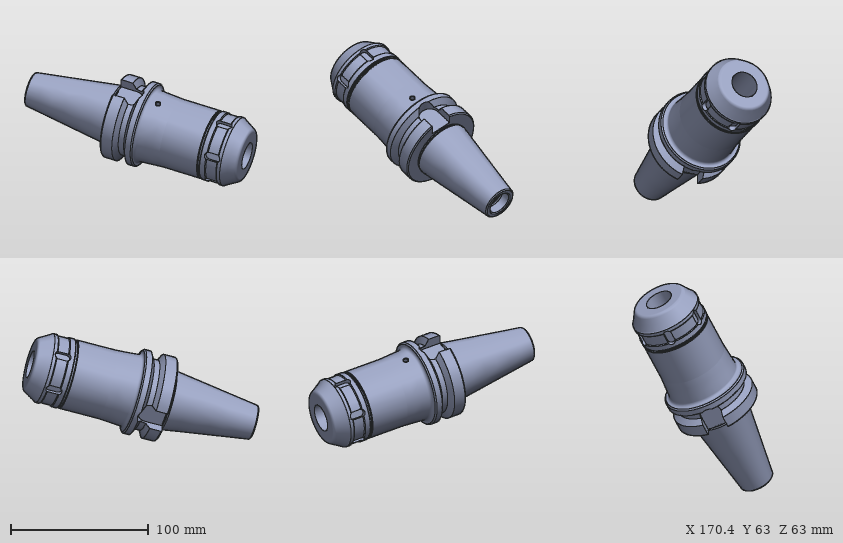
import cadquery as cq
import math

LENGTH = 170.4

TAPER_LENGTH = 65.5
TAPER_GAUGE_RADIUS = 44.5 / 2
TAPER_SLOPE = 7 / 48
TAPER_TIP_RADIUS = TAPER_GAUGE_RADIUS - TAPER_SLOPE * TAPER_LENGTH
TAPER_TIP_CHAMFER = 0.9
RELIEF_START = 66.5
RELIEF_RADIUS = 43.5 / 2

FLANGE_RADIUS = 63.0 / 2
FLANGE_FRONT = 67.5
FLANGE_FRONT_CHAMFER = 0.9
FLANGE_BACK = 92.5
FLANGE_BACK_CHAMFER = 1.0
GROOVE_FLOOR_RADIUS = 52.8 / 2
GROOVE_FLOOR_START = 80.0
GROOVE_FLOOR_END = 84.2
GROOVE_FLANK_ANGLE = math.radians(30)
GROOVE_FLANK_LENGTH = (FLANGE_RADIUS - GROOVE_FLOOR_RADIUS) * math.tan(GROOVE_FLANK_ANGLE)

NECK_FILLET = 2.5
NECK_START = FLANGE_BACK + NECK_FILLET
NECK_RADIUS = 27.0
BARREL_START = 112.5
BARREL_RADIUS = 51.5 / 2
BARREL_END = 141.8
BARREL_END_CHAMFER = 0.3

NUT_GAP_RADIUS = 48.4 / 2
NUT_START = 143.3
NUT_START_CHAMFER = 0.5
NUT_RADIUS = 52.0 / 2
NUT_WAIST_RADIUS = 50.6 / 2
NUT_WAIST_START = 147.7
NUT_WAIST_END = 157.1
NUT_WAIST_FLANK = 0.7
NUT_RIM_END = 160.2
NUT_RIM_CHAMFER = 0.5
NOSE_ANGLE = math.radians(30)
NOSE_ROUND = 3.0

DRIVE_SLOT_COUNT = 2
DRIVE_SLOT_WIDTH = 16.0
DRIVE_SLOT_FLOOR = 22.8
DRIVE_SLOT_END = 88.3

WRENCH_SLOT_COUNT = 6
WRENCH_SLOT_LENGTH = 12.0
WRENCH_SLOT_WIDTH = 5.8
WRENCH_SLOT_FLOOR = 22.5
WRENCH_SLOT_CENTRE = 152.3

SIDE_HOLE_X = 100.2
SIDE_HOLE_DIAMETER = 3.4
SIDE_HOLE_MOUTH_DIAMETER = 4.0
SIDE_HOLE_MOUTH_FLOOR = 25.9

MOUTH_RADIUS = 19.3 / 2
MOUTH_CHAMFER_DEPTH = 0.7
PILOT_RADIUS = 17.4 / 2
PILOT_DEPTH = 7.5
RECESS_RADIUS = 16.0 / 2
RECESS_START = 8.5
RECESS_END = 9.2
THREAD_RADIUS = 14.3 / 2
THREAD_START = 10.0
THREAD_END = 30.7
THROUGH_RADIUS = 12.0 / 2
CLAMP_BORE_RADIUS = 20.0 / 2
CLAMP_BORE_START = 95.5


def outer_body():
    """Turned outside shape."""
    chamfer_radius = TAPER_TIP_RADIUS + TAPER_SLOPE * TAPER_TIP_CHAMFER
    fillet_middle = NECK_FILLET * (1 - math.sqrt(0.5))
    nose_tangent_x = LENGTH - NOSE_ROUND * (1 - math.sin(NOSE_ANGLE))
    nose_cone_length = nose_tangent_x - NUT_RIM_END
    nose_tangent_radius = NUT_RADIUS - NUT_RIM_CHAMFER - nose_cone_length * math.tan(NOSE_ANGLE)
    profile = (
        cq.Workplane("XY")
        .moveTo(0, 0)
        .lineTo(0, chamfer_radius - TAPER_TIP_CHAMFER)
        .lineTo(TAPER_TIP_CHAMFER, chamfer_radius)
        .lineTo(TAPER_LENGTH, TAPER_GAUGE_RADIUS)
        .lineTo(RELIEF_START, RELIEF_RADIUS)
        .lineTo(FLANGE_FRONT, RELIEF_RADIUS)
        .lineTo(FLANGE_FRONT, FLANGE_RADIUS - FLANGE_FRONT_CHAMFER)
        .lineTo(FLANGE_FRONT + FLANGE_FRONT_CHAMFER, FLANGE_RADIUS)
        .lineTo(GROOVE_FLOOR_START - GROOVE_FLANK_LENGTH, FLANGE_RADIUS)
        .lineTo(GROOVE_FLOOR_START, GROOVE_FLOOR_RADIUS)
        .lineTo(GROOVE_FLOOR_END, GROOVE_FLOOR_RADIUS)
        .lineTo(GROOVE_FLOOR_END + GROOVE_FLANK_LENGTH, FLANGE_RADIUS)
        .lineTo(FLANGE_BACK - FLANGE_BACK_CHAMFER, FLANGE_RADIUS)
        .lineTo(FLANGE_BACK, FLANGE_RADIUS - FLANGE_BACK_CHAMFER)
        .lineTo(FLANGE_BACK, NECK_RADIUS + NECK_FILLET)
        .threePointArc(
            (FLANGE_BACK + fillet_middle, NECK_RADIUS + fillet_middle),
            (NECK_START, NECK_RADIUS),
        )
        .lineTo(BARREL_START, BARREL_RADIUS)
        .lineTo(BARREL_END - BARREL_END_CHAMFER, BARREL_RADIUS)
        .lineTo(BARREL_END, BARREL_RADIUS - BARREL_END_CHAMFER)
        .lineTo(BARREL_END, NUT_GAP_RADIUS)
        .lineTo(NUT_START, NUT_GAP_RADIUS)
        .lineTo(NUT_START, NUT_RADIUS - NUT_START_CHAMFER)
        .lineTo(NUT_START + NUT_START_CHAMFER, NUT_RADIUS)
        .lineTo(NUT_WAIST_START, NUT_RADIUS)
        .lineTo(NUT_WAIST_START + NUT_WAIST_FLANK, NUT_WAIST_RADIUS)
        .lineTo(NUT_WAIST_END - NUT_WAIST_FLANK, NUT_WAIST_RADIUS)
        .lineTo(NUT_WAIST_END, NUT_RADIUS)
        .lineTo(NUT_RIM_END - NUT_RIM_CHAMFER, NUT_RADIUS)
        .lineTo(NUT_RIM_END, NUT_RADIUS - NUT_RIM_CHAMFER)
        .lineTo(nose_tangent_x, nose_tangent_radius)
        .tangentArcPoint((LENGTH, nose_tangent_radius - NOSE_ROUND * math.cos(NOSE_ANGLE)), relative=False)
        .lineTo(LENGTH, 0)
        .close()
    )
    return profile.revolve(360, (0, 0, 0), (1, 0, 0))


def bore():
    """Stepped hole along the whole axis."""
    profile = (
        cq.Workplane("XY")
        .moveTo(0, 0)
        .lineTo(0, MOUTH_RADIUS)
        .lineTo(MOUTH_CHAMFER_DEPTH, PILOT_RADIUS)
        .lineTo(PILOT_DEPTH, PILOT_RADIUS)
        .lineTo(RECESS_START, RECESS_RADIUS)
        .lineTo(RECESS_END, RECESS_RADIUS)
        .lineTo(THREAD_START, THREAD_RADIUS)
        .lineTo(THREAD_END, THREAD_RADIUS)
        .lineTo(THREAD_END, THROUGH_RADIUS)
        .lineTo(CLAMP_BORE_START, THROUGH_RADIUS)
        .lineTo(CLAMP_BORE_START, CLAMP_BORE_RADIUS)
        .lineTo(LENGTH, CLAMP_BORE_RADIUS)
        .lineTo(LENGTH, 0)
        .close()
    )
    return profile.revolve(360, (0, 0, 0), (1, 0, 0))


def drive_slot():
    """Round-ended slot at the top of the flange, open towards the taper."""
    end_radius = DRIVE_SLOT_WIDTH / 2
    end_centre = DRIVE_SLOT_END - end_radius
    depth = FLANGE_RADIUS - DRIVE_SLOT_FLOOR
    plane = cq.Workplane("XY").workplane(offset=DRIVE_SLOT_FLOOR)
    run = end_centre - RELIEF_START
    run_centre = (RELIEF_START + end_centre) / 2
    straight = plane.center(run_centre, 0).rect(run, DRIVE_SLOT_WIDTH).extrude(depth)
    return straight.union(plane.center(end_centre, 0).circle(end_radius).extrude(depth))


def wrench_slot():
    """Round-ended, flat-bottomed slot at the top of the nut."""
    return (
        cq.Workplane("XY")
        .workplane(offset=WRENCH_SLOT_FLOOR)
        .center(WRENCH_SLOT_CENTRE, 0)
        .slot2D(WRENCH_SLOT_LENGTH, WRENCH_SLOT_WIDTH)
        .extrude(FLANGE_RADIUS - WRENCH_SLOT_FLOOR)
    )


def side_hole():
    """Radial hole from the top of the neck into the bore, slightly wider at its mouth."""
    plane = cq.Workplane("XY").center(SIDE_HOLE_X, 0)
    hole = plane.circle(SIDE_HOLE_DIAMETER / 2).extrude(FLANGE_RADIUS)
    mouth = (
        plane.workplane(offset=SIDE_HOLE_MOUTH_FLOOR)
        .circle(SIDE_HOLE_MOUTH_DIAMETER / 2)
        .extrude(FLANGE_RADIUS - SIDE_HOLE_MOUTH_FLOOR)
    )
    return hole.union(mouth)


def turned(shape, angle):
    """Copy of a shape turned about the X axis."""
    return shape.rotate((0, 0, 0), (1, 0, 0), angle)


result = outer_body().cut(bore()).cut(side_hole())
for index in range(DRIVE_SLOT_COUNT):
    result = result.cut(turned(drive_slot(), index * 360 / DRIVE_SLOT_COUNT))
for index in range(WRENCH_SLOT_COUNT):
    result = result.cut(turned(wrench_slot(), index * 360 / WRENCH_SLOT_COUNT))